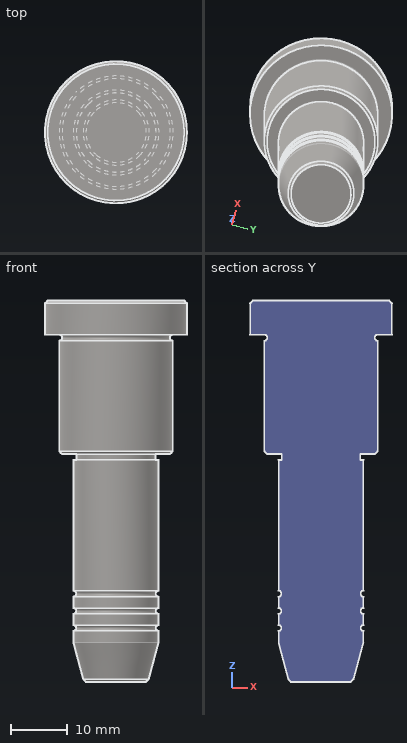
import cadquery as cq
import math

total_length = 67.0
head_height = 6.0
head_diameter = 25.0
head_radius = head_diameter / 2
body_end_depth = 27.0
body_radius = 10.0
shank_radius = 7.5
edge_chamfer = 0.5

relief_width = 1.0
relief_radius = 7.0

groove_radius = 0.5
groove_pitch = 3.0
groove_count = 3
land_below_grooves = 2.0

tip_length = 7.0
tip_half_angle = math.radians(15)


def cylinder(radius, bottom, top):
    return cq.Workplane("XY").workplane(offset=bottom).circle(radius).extrude(top - bottom)


def ring_groove(surface_radius, center_height):
    """Torus that cuts a half-round groove around a cylinder."""
    return (
        cq.Workplane("XZ")
        .center(surface_radius, center_height)
        .circle(groove_radius)
        .revolve(360, (-surface_radius, 0), (-surface_radius, 1))
    )


head_bottom = total_length - head_height
body_bottom = total_length - body_end_depth
shank_top = body_bottom - relief_width
tip_end_radius = shank_radius - tip_length * math.tan(tip_half_angle)

head = cylinder(head_radius, head_bottom, total_length).faces(">Z").chamfer(edge_chamfer)
body = cylinder(body_radius, body_bottom, head_bottom).faces("<Z").chamfer(edge_chamfer)
relief = cylinder(relief_radius, shank_top, body_bottom)
shank = cylinder(shank_radius, tip_length, shank_top)

bevel_edge_radius = tip_end_radius + edge_chamfer * math.tan(tip_half_angle)
tip = (
    cq.Workplane("XZ")
    .moveTo(0, 0)
    .lineTo(bevel_edge_radius - edge_chamfer, 0)
    .lineTo(bevel_edge_radius, edge_chamfer)
    .lineTo(shank_radius, tip_length)
    .lineTo(0, tip_length)
    .close()
    .revolve(360, (0, 0), (0, 1))
)

body = body.cut(ring_groove(body_radius, head_bottom - groove_radius))

lowest_groove = tip_length + land_below_grooves + groove_radius
for index in range(groove_count):
    shank = shank.cut(ring_groove(shank_radius, lowest_groove + index * groove_pitch))

result = head.union(body).union(relief).union(shank).union(tip)